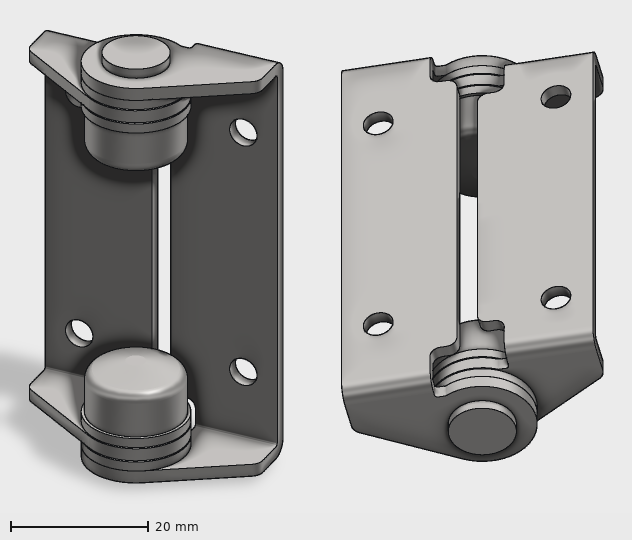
import cadquery as cq
import math


total_height = 69.0
total_width = 37.5
half_width = total_width / 2

sheet = 2.0
bend_inner_radius = 0.5
bend_outer_radius = bend_inner_radius + sheet
back_y = 10.5
wall_gap = 3.05
knuckle_radius = 8.0
side_corner_y = 2.5
side_corner_radius = 2.0

relief_x = 5.5
relief_y = 7.0
relief_height = 6.5
lug_relief_radius = 0.5
tongue_corner_radius = 1.5

hole_diameter = 4.4
hole_x = 13.25
hole_z = 20.0

journal_radius = 5.0
journal_end = 1.5
flange_radius = 8.0
flange_thickness = 1.5
running_gap = 0.2
head_radius = 7.5
pin_length = 17.45
dome_radius = 15.45
dome_rim_radius = 1.85
dome_flat_radius = 1.5

pin_end_z = total_height / 2
outer_lug_z = pin_end_z - journal_end
outer_flange_z = outer_lug_z - sheet
inner_gap_z = outer_flange_z - flange_thickness
inner_lug_z = inner_gap_z - running_gap
inner_flange_z = inner_lug_z - sheet - running_gap
head_z = inner_flange_z - flange_thickness
dome_end_z = pin_end_z - pin_length


def edges_near(part, points):
    """Select the one edge of the part closest to each point."""
    found = part.newObject([])
    for point in points:
        found = found.add(part.edges(cq.selectors.NearestToPointSelector(point)))
    return found


def channel(half_height):
    """C-shaped sheet with rounded bends, wider than the leaf in X."""
    depth = back_y + knuckle_radius
    inner_half_height = half_height - sheet
    outside = (
        cq.Workplane("XY")
        .box(total_width, depth, 2 * half_height)
        .edges("|X and >Y")
        .fillet(bend_outer_radius)
    )
    inside = (
        cq.Workplane("XY")
        .box(total_width, depth, 2 * inner_half_height)
        .edges("|X and >Y")
        .fillet(bend_inner_radius)
        .translate((0, -sheet, 0))
    )
    return outside.cut(inside).translate((0, back_y - depth / 2, 0))


def lug_blank(half_height):
    """Plan outline of a lug, as a block of the leaf's full height."""
    corner_distance = math.hypot(half_width, side_corner_y)
    corner_angle = math.atan2(side_corner_y, half_width)
    tangent_angle = corner_angle - math.acos(knuckle_radius / corner_distance)
    tangent_point = (
        knuckle_radius * math.cos(tangent_angle),
        knuckle_radius * math.sin(tangent_angle),
    )
    knuckle_x = math.sqrt(knuckle_radius**2 - relief_y**2)
    blank = (
        cq.Workplane("XY")
        .workplane(offset=-half_height)
        .moveTo(*tangent_point)
        .lineTo(half_width, side_corner_y)
        .lineTo(half_width, back_y)
        .lineTo(relief_x, back_y)
        .lineTo(relief_x, relief_y)
        .lineTo(knuckle_x, relief_y)
        .threePointArc((-knuckle_radius, 0), tangent_point)
        .close()
        .extrude(2 * half_height)
    )
    blank = edges_near(blank, [(half_width, side_corner_y, 0)]).fillet(side_corner_radius)
    relief_corners = [(relief_x, relief_y, 0), (knuckle_x, relief_y, 0)]
    return edges_near(blank, relief_corners).fillet(lug_relief_radius)


def leaf(half_height):
    """Leaf on the +X side, with a lug at each end of its wall."""
    body = channel(half_height).intersect(lug_blank(half_height))

    tongue_half_height = half_height - relief_height
    tongue_width = relief_x - wall_gap / 2
    tongue = cq.Workplane("XY").box(tongue_width, sheet, 2 * tongue_half_height)
    wall_mid_y = back_y - sheet / 2
    body = body.union(tongue.translate((relief_x - tongue_width / 2, wall_mid_y, 0)))
    tongue_corners = [
        (x, wall_mid_y, z)
        for x in (wall_gap / 2, relief_x)
        for z in (-tongue_half_height, tongue_half_height)
    ]
    body = edges_near(body, tongue_corners).fillet(tongue_corner_radius)

    mounting_holes = (
        cq.Workplane("XZ", origin=(0, back_y, 0))
        .pushPoints([(hole_x, -hole_z), (hole_x, hole_z)])
        .circle(hole_diameter / 2)
        .extrude(sheet)
    )

    pin_hole = cq.Workplane("XY").circle(journal_radius).extrude(half_height, both=True)
    return body.cut(mounting_holes).cut(pin_hole)


def upper_pin():
    """Pin turned about Z: stub, two flanges around the inner lug, domed head."""
    dome_centre_z = dome_end_z + math.sqrt(dome_radius**2 - dome_flat_radius**2)
    rim_centre_r = head_radius - dome_rim_radius
    rim_angle = math.asin(rim_centre_r / (dome_radius - dome_rim_radius))
    rim_centre_z = dome_centre_z - (dome_radius - dome_rim_radius) * math.cos(rim_angle)

    def rim_point(angle):
        return (
            rim_centre_r + dome_rim_radius * math.sin(angle),
            rim_centre_z - dome_rim_radius * math.cos(angle),
        )

    def dome_point(angle):
        return (dome_radius * math.sin(angle), dome_centre_z - dome_radius * math.cos(angle))

    flat_angle = math.asin(dome_flat_radius / dome_radius)
    return (
        cq.Workplane("XZ")
        .moveTo(0, pin_end_z)
        .lineTo(journal_radius, pin_end_z)
        .lineTo(journal_radius, outer_flange_z)
        .lineTo(flange_radius, outer_flange_z)
        .lineTo(flange_radius, inner_gap_z)
        .lineTo(journal_radius, inner_gap_z)
        .lineTo(journal_radius, inner_flange_z)
        .lineTo(flange_radius, inner_flange_z)
        .lineTo(flange_radius, head_z)
        .lineTo(head_radius, head_z)
        .lineTo(head_radius, rim_centre_z)
        .threePointArc(rim_point((rim_angle + math.pi / 2) / 2), rim_point(rim_angle))
        .threePointArc(dome_point((rim_angle + flat_angle) / 2), dome_point(flat_angle))
        .lineTo(0, dome_end_z)
        .close()
        .revolve(360, (0, 0, 0), (0, 1, 0))
    )


outer_leaf = leaf(outer_lug_z)
inner_leaf = leaf(inner_lug_z).mirror("YZ")

pins = cq.Workplane("XY")
for turn in (0, 180):
    pins = pins.add(upper_pin().rotate((0, 0, 0), (1, 0, 0), turn))

result = cq.Compound.makeCompound([outer_leaf.val(), inner_leaf.val(), *pins.vals()])